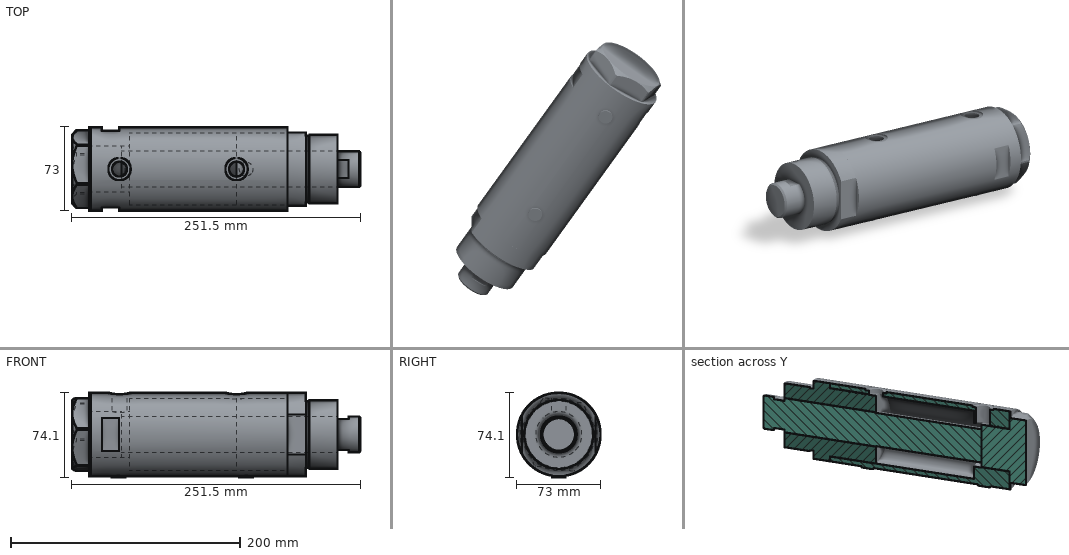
import cadquery as cq
import math


hex_end = 14.8
tube_start = 16.3
rod_start = 43.0
main_bore_start = 50.0
gland_spigot_start = 143.4
tube_end = 188.0
shoulder_end = 203.8
nose_start = 206.2
nose_end = 231.4
rod_flat_end = 241.0
rod_end = 251.52

outer_diameter = 73.0
bore_diameter = 63.0
rear_bore_diameter = 40.0
nose_diameter = 60.0
groove_diameter = 58.2
rod_diameter = 31.4

hex_across_flats = 60.0
hex_corner_diameter = 68.3
hex_face_diameter = 59.4
hex_chamfer_length = 4.0
hex_turn = 7.8

tube_flat_start = 26.0
tube_flat_length = 15.0
tube_across_flats = 67.0
gland_across_flats = 64.0
rod_across_flats = 27.2

port_stations = (41.4, gland_spigot_start)
port_diameter = 13.0
spotface_diameter = 19.6
spotface_height = 35.2

boss_stations = (40.4, 151.7)
boss_diameter = 12.0
boss_bottom = -37.6

rod_chamfer = 1.5
nose_chamfer = (nose_diameter - groove_diameter) / 2


def cylinder_x(diameter, start, end):
    """Round bar on the X axis between two stations."""
    return cq.Workplane("YZ", origin=(start, 0, 0)).circle(diameter / 2).extrude(end - start)


def cylinder_z(diameter, station, bottom, top):
    """Upright round bar crossing the axis plane at one station."""
    return cq.Workplane("XY", origin=(station, 0, bottom)).circle(diameter / 2).extrude(top - bottom)


def slab(start, end, size_y, size_z):
    """Block centred on the axis, used to shape pairs of flats."""
    return cq.Workplane("YZ", origin=(start, 0, 0)).rect(size_y, size_z).extrude(end - start)


def make_cap():
    """Rear cap: chamfered hexagon, flange and bore spigot."""
    hexagon = (
        cq.Workplane("YZ")
        .polygon(6, hex_across_flats / math.cos(math.pi / 6))
        .extrude(hex_end)
        .rotate((0, 0, 0), (1, 0, 0), -hex_turn)
    )
    turned_blank = (
        cq.Workplane("XY")
        .moveTo(0, 0)
        .lineTo(0, hex_face_diameter / 2)
        .lineTo(hex_chamfer_length, hex_corner_diameter / 2)
        .lineTo(hex_end, hex_corner_diameter / 2)
        .lineTo(hex_end, 0)
        .close()
        .revolve(360, (0, 0, 0), (1, 0, 0))
    )
    flange = cylinder_x(outer_diameter, hex_end, tube_start)
    spigot = cylinder_x(rear_bore_diameter, tube_start, rod_start)
    return hexagon.intersect(turned_blank).union(flange).union(spigot)


def make_tube():
    """Stepped-bore tube with side flats, two spotfaced ports on top and two bosses below."""
    tube = cylinder_x(outer_diameter, tube_start, tube_end)
    for station in boss_stations:
        tube = tube.union(cylinder_z(boss_diameter, station, boss_bottom, 0))

    tube_flat_end = tube_flat_start + tube_flat_length
    flat_band = slab(tube_flat_start, tube_flat_end, 2 * outer_diameter, bore_diameter)
    tube = tube.cut(flat_band.cut(slab(tube_flat_start, tube_flat_end, tube_across_flats, outer_diameter)))

    for station in port_stations:
        tube = tube.cut(cylinder_z(spotface_diameter, station, spotface_height, outer_diameter))
        tube = tube.cut(cylinder_z(port_diameter, station, 0, outer_diameter))
    tube = tube.cut(cylinder_x(rear_bore_diameter, tube_start, main_bore_start))
    return tube.cut(cylinder_x(bore_diameter, main_bore_start, tube_end))


def make_gland():
    """Gland: bore spigot, flatted shoulder, relief groove and nose, bored for the rod."""
    spigot = cylinder_x(bore_diameter, gland_spigot_start, tube_end)
    shoulder = cylinder_x(outer_diameter, tube_end, shoulder_end).intersect(
        slab(tube_end, shoulder_end, gland_across_flats, outer_diameter)
    )
    groove = cylinder_x(groove_diameter, shoulder_end, nose_start)
    nose = cylinder_x(nose_diameter, nose_start, nose_end).faces("<X").chamfer(nose_chamfer)
    gland = spigot.union(shoulder).union(groove).union(nose)
    return gland.cut(cylinder_x(rod_diameter, gland_spigot_start, nose_end))


def make_rod():
    """Plain rod with wrench flats above and below and a chamfered tip."""
    rod = cylinder_x(rod_diameter, rod_start, rod_end).faces(">X").chamfer(rod_chamfer)
    flat_ring = slab(nose_end, rod_flat_end, rod_diameter, 2 * rod_diameter)
    return rod.cut(flat_ring.cut(slab(nose_end, rod_flat_end, rod_diameter, rod_across_flats)))


cap = make_cap()
tube = make_tube()
gland = make_gland()
rod = make_rod()

result = cq.Compound.makeCompound([cap.val(), tube.val(), gland.val(), rod.val()])